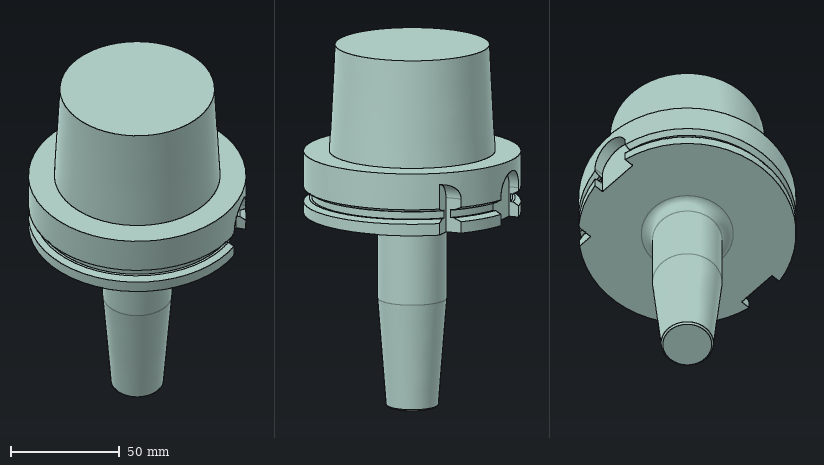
import cadquery as cq
import math

total_height = 170.0

taper_height = 50.0
taper_top_radius = 35.5
taper_base_radius = 38.0

flange_radius = 50.0
flange_thickness = 29.0
groove_top = 16.8
groove_bottom = 23.6
groove_step_radius = 47.3
groove_floor_radius = 46.0
groove_slope_angle = 30.0

drive_slot_width = 20.0
drive_slot_top = 5.1
drive_slot_floor = 44.2

notch_inner_y = 31.8
notch_radius = 7.5
notch_top = 5.5
notch_floor = 31.0

shank_radius = 16.0
shank_fillet = 5.1
shank_straight_end = 69.2
tip_radius = 12.0
tip_chamfer = 0.8


def make_taper():
    return (
        cq.Workplane("XZ")
        .polyline([(0, 0), (taper_base_radius, 0), (taper_top_radius, taper_height), (0, taper_height)])
        .close()
        .revolve(360, (0, 0), (0, 1))
    )


def make_holder_blank():
    """Flange, groove, fillet and shank as one turned profile."""
    slope_height = (flange_radius - groove_step_radius) * math.tan(math.radians(groove_slope_angle))
    tip_depth = total_height - taper_height
    fillet_mid = shank_fillet * (1 - math.sqrt(0.5))
    return (
        cq.Workplane("XZ")
        .moveTo(0, 0)
        .lineTo(flange_radius, 0)
        .lineTo(flange_radius, -groove_top)
        .lineTo(groove_step_radius, -groove_top - slope_height)
        .lineTo(groove_floor_radius, -groove_top - slope_height)
        .lineTo(groove_floor_radius, -groove_bottom + slope_height)
        .lineTo(groove_step_radius, -groove_bottom + slope_height)
        .lineTo(flange_radius, -groove_bottom)
        .lineTo(flange_radius, -flange_thickness)
        .lineTo(shank_radius + shank_fillet, -flange_thickness)
        .threePointArc(
            (shank_radius + fillet_mid, -flange_thickness - fillet_mid),
            (shank_radius, -flange_thickness - shank_fillet),
        )
        .lineTo(shank_radius, -shank_straight_end)
        .lineTo(tip_radius, -tip_depth + tip_chamfer)
        .lineTo(tip_radius - tip_chamfer, -tip_depth)
        .lineTo(0, -tip_depth)
        .close()
        .revolve(360, (0, 0), (0, 1))
    )


def slot_cutter(center_y, radius, top, floor):
    """Round-topped cutter running outward along +X from the slot floor."""
    arc_center = -top - radius
    return (
        cq.Workplane("YZ", origin=(floor, 0, 0))
        .moveTo(center_y - radius, -flange_thickness)
        .lineTo(center_y - radius, arc_center)
        .threePointArc((center_y, -top), (center_y + radius, arc_center))
        .lineTo(center_y + radius, -flange_thickness)
        .close()
        .extrude(flange_radius)
    )


def make_holder():
    holder = make_holder_blank()
    drive_slot = slot_cutter(0, drive_slot_width / 2, drive_slot_top, drive_slot_floor)
    for angle in (0, 180):
        holder = holder.cut(drive_slot.rotate((0, 0, 0), (0, 0, 1), angle))
    notch = slot_cutter(notch_inner_y + notch_radius, notch_radius, notch_top, notch_floor)
    return holder.cut(notch.mirror("YZ"))


taper = make_taper()
holder = make_holder()
result = cq.Compound.makeCompound([taper.val(), holder.val()])